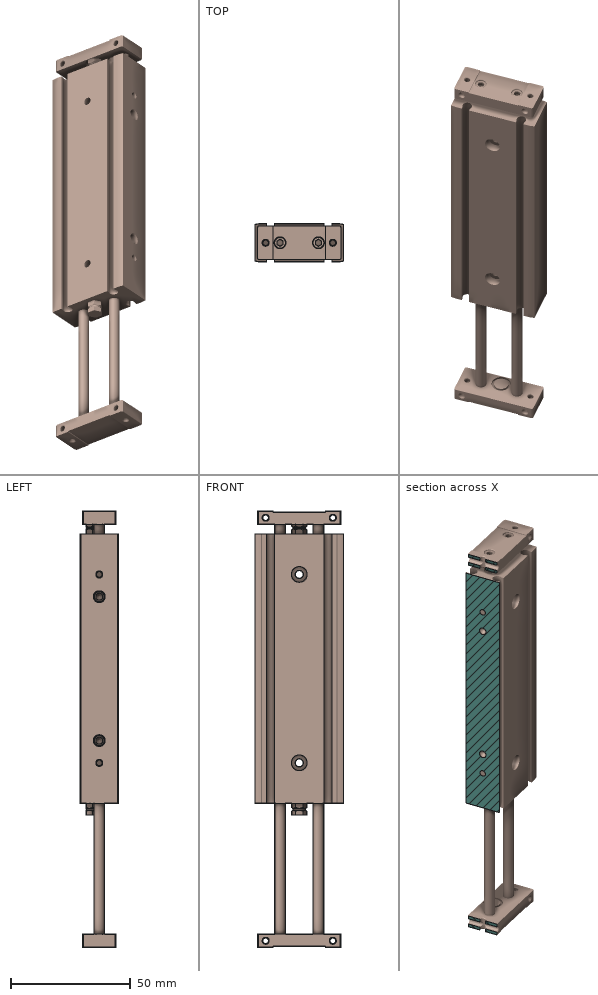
import cadquery as cq
import math

TOTAL_LENGTH = 182.6
PLATE_THICKNESS = 5.5
HOUSING_BOTTOM = 60.3
HOUSING_TOP = 173.1
HOUSING_LENGTH = HOUSING_TOP - HOUSING_BOTTOM
HOUSING_MIDDLE = (HOUSING_BOTTOM + HOUSING_TOP) / 2
UPPER_GAP = TOTAL_LENGTH - PLATE_THICKNESS - HOUSING_TOP

HOUSING_WIDTH = 37.0
HOUSING_DEPTH = 16.0
CROWN_WIDTH = 2.7
CROWN_DROP = 0.4
GROOVE_X = 12.0
GROOVE_OPENING = 3.3
GROOVE_DIAMETER = 4.0
GROOVE_CENTRE_DEPTH = 2.2
MOUNT_HOLE_OFFSET = 39.5
MOUNT_HOLE_DIAMETER = 3.3
COUNTERBORE_DIAMETER = 6.5
COUNTERBORE_DEPTH = 3.7
PORT_OFFSET = 30.1
PORT_MOUTH_DIAMETER = 5.0
PORT_DIAMETER = 4.2
PORT_DEPTH = 3.7
PASSAGE_DIAMETER = 3.0
PASSAGE_DEPTH = 1.5

SCREW_MOUTH_DIAMETER = 3.0
SCREW_HOLE_DIAMETER = 2.4
SIDE_SCREW_DEPTH = 4.4

PLATE_WIDTH = 35.0
PLATE_DEPTH = 14.0
PLATE_CHAMFER = 0.5
PLATE_SCREW_X = 14.0
RELIEF_WIDTH = 22.0
RELIEF_DEPTH = 0.4

ROD_X = 8.0
ROD_DIAMETER = 4.5
ROD_TOP_RECESS = 0.5
ROD_TOP = TOTAL_LENGTH - RELIEF_DEPTH - ROD_TOP_RECESS
ROD_HOLE_MOUTH_DIAMETER = 5.0
SOCKET_FLATS = 2.5
SOCKET_DEPTH = 1.8

STOP_Y = 2.7
HEX_FLATS = 5.5
HEX_CORNERS = HEX_FLATS / math.cos(math.pi / 6)
HEX_CHAMFER = 0.5
NUT_HEIGHT = 2.2
COLLAR_HEIGHT = 0.5
COLLAR_DIAMETER = 5.3
HEAD_HEIGHT = 2.2
STOP_LENGTH = NUT_HEIGHT + COLLAR_HEIGHT + HEAD_HEIGHT
SHANK_DIAMETER = 3.0
SHANK_LENGTH = 7.3
POCKET_DIAMETER = 8.0
POCKET_DEPTH = STOP_LENGTH - UPPER_GAP
BUMPER_DIAMETER = 6.0


def cylinder(diameter, length, start, direction):
    solid = cq.Solid.makeCylinder(diameter / 2, length, cq.Vector(*start), cq.Vector(*direction))
    return cq.Workplane(solid)


def cone(start_diameter, end_diameter, length, start, direction):
    radii = (start_diameter / 2, end_diameter / 2)
    return cq.Workplane(cq.Solid.makeCone(*radii, length, cq.Vector(*start), cq.Vector(*direction)))


def countersunk_hole(mouth_diameter, diameter, depth, start, direction):
    """Cutter for a hole whose mouth has a 45 degree countersink."""
    sink = (mouth_diameter - diameter) / 2
    hole = cylinder(diameter, depth, start, direction)
    return hole.union(cone(mouth_diameter, diameter, sink, start, direction))


def groove_cutter(side_x, side_y):
    """Keyhole-shaped sensor groove, open on the face at side_y."""
    centre_y = side_y * (HOUSING_DEPTH / 2 - GROOVE_CENTRE_DEPTH)
    base = cq.Workplane("XY", origin=(side_x * GROOVE_X, centre_y, HOUSING_BOTTOM))
    channel = base.circle(GROOVE_DIAMETER / 2).extrude(HOUSING_LENGTH)
    neck = base.center(0, side_y * GROOVE_CENTRE_DEPTH / 2).rect(GROOVE_OPENING, GROOVE_CENTRE_DEPTH)
    return channel.union(neck.extrude(HOUSING_LENGTH))


def housing_block():
    """Long block whose corners fall away along arcs tangent to the broad faces."""
    half_x = HOUSING_WIDTH / 2
    half_y = HOUSING_DEPTH / 2
    flat_x = half_x - CROWN_WIDTH
    edge_y = half_y - CROWN_DROP
    crown_radius = (CROWN_WIDTH**2 + CROWN_DROP**2) / (2 * CROWN_DROP)
    outline = (
        cq.Workplane("XY", origin=(0, 0, HOUSING_BOTTOM))
        .moveTo(-flat_x, half_y)
        .lineTo(flat_x, half_y)
        .radiusArc((half_x, edge_y), crown_radius)
        .lineTo(half_x, -edge_y)
        .radiusArc((flat_x, -half_y), crown_radius)
        .lineTo(-flat_x, -half_y)
        .radiusArc((-half_x, -edge_y), crown_radius)
        .lineTo(-half_x, edge_y)
        .radiusArc((-flat_x, half_y), crown_radius)
        .close()
    )
    return outline.extrude(HOUSING_LENGTH)


def port_cutter(z):
    """Air port in the side face: countersunk bore and a narrow passage with a conical end."""
    mouth_x = -HOUSING_WIDTH / 2
    bore = countersunk_hole(PORT_MOUTH_DIAMETER, PORT_DIAMETER, PORT_DEPTH, (mouth_x, 0, z), (1, 0, 0))
    passage_start = mouth_x + PORT_DEPTH
    passage = cylinder(PASSAGE_DIAMETER, PASSAGE_DEPTH, (passage_start, 0, z), (1, 0, 0))
    point_start = (passage_start + PASSAGE_DEPTH, 0, z)
    point = cone(PASSAGE_DIAMETER, 0, PASSAGE_DIAMETER / 2, point_start, (1, 0, 0))
    return bore.union(passage).union(point)


def mount_cutter(z):
    """Mounting hole through the housing, counterbored from the -Y face."""
    front = (0, -HOUSING_DEPTH / 2, z)
    hole = cylinder(MOUNT_HOLE_DIAMETER, HOUSING_DEPTH, front, (0, 1, 0))
    return hole.union(cylinder(COUNTERBORE_DIAMETER, COUNTERBORE_DEPTH, front, (0, 1, 0)))


def side_screw_cutter(z):
    """Blind screw hole in the -X side face."""
    start = (-HOUSING_WIDTH / 2, 0, z)
    return countersunk_hole(SCREW_MOUTH_DIAMETER, SCREW_HOLE_DIAMETER, SIDE_SCREW_DEPTH, start, (1, 0, 0))


def make_housing():
    body = housing_block()
    for side_x in (-1, 1):
        for side_y in (-1, 1):
            body = body.cut(groove_cutter(side_x, side_y))
        rod_start = (side_x * ROD_X, 0, HOUSING_BOTTOM)
        body = body.cut(cylinder(ROD_DIAMETER, HOUSING_LENGTH, rod_start, (0, 0, 1)))
    for end in (-1, 1):
        mount_z = HOUSING_MIDDLE + end * MOUNT_HOLE_OFFSET
        body = body.cut(mount_cutter(mount_z)).cut(side_screw_cutter(mount_z))
        body = body.cut(port_cutter(HOUSING_MIDDLE + end * PORT_OFFSET))
    for face_z, inward in ((HOUSING_BOTTOM, 1), (HOUSING_TOP, -1)):
        body = body.cut(cylinder(SHANK_DIAMETER, SHANK_LENGTH, (0, STOP_Y, face_z), (0, 0, inward)))
    return body


def cut_plate_screw_holes(plate, x):
    """Crossing through holes along Y and Z, countersunk at both ends."""
    sizes = (SCREW_MOUTH_DIAMETER, SCREW_HOLE_DIAMETER)
    middle_z = PLATE_THICKNESS / 2
    for inward in (-1, 1):
        y_start = (x, -inward * PLATE_DEPTH / 2, middle_z)
        plate = plate.cut(countersunk_hole(*sizes, PLATE_DEPTH / 2, y_start, (0, inward, 0)))
        z_start = (x, 0, middle_z - inward * PLATE_THICKNESS / 2)
        plate = plate.cut(countersunk_hole(*sizes, PLATE_THICKNESS / 2, z_start, (0, 0, inward)))
    return plate


def make_end_plate():
    """Lower end plate: outer face at Z = 0, stop pocket in the face towards the housing."""
    plate = (
        cq.Workplane("XY")
        .rect(PLATE_WIDTH, PLATE_DEPTH)
        .extrude(PLATE_THICKNESS)
        .edges("|Z")
        .chamfer(PLATE_CHAMFER)
    )
    relief = cq.Workplane("XY").rect(RELIEF_WIDTH, PLATE_DEPTH).extrude(RELIEF_DEPTH)
    pocket = cylinder(POCKET_DIAMETER, POCKET_DEPTH, (0, STOP_Y, PLATE_THICKNESS), (0, 0, -1))
    plate = plate.cut(relief).cut(pocket)
    for x in (-PLATE_SCREW_X, PLATE_SCREW_X):
        plate = cut_plate_screw_holes(plate, x)
    return plate


def make_upper_plate():
    """The same plate turned over, with holes that hold the rods."""
    plate = make_end_plate().mirror("XY").translate((0, 0, TOTAL_LENGTH))
    outer_z = TOTAL_LENGTH - RELIEF_DEPTH
    for x in (-ROD_X, ROD_X):
        start = (x, 0, outer_z)
        plate = plate.cut(
            countersunk_hole(ROD_HOLE_MOUTH_DIAMETER, ROD_DIAMETER, PLATE_THICKNESS, start, (0, 0, -1))
        )
    return plate


def make_rod(x):
    """Rod standing on the lower plate, with a hexagon socket in its upper end."""
    shaft = cylinder(ROD_DIAMETER, ROD_TOP - PLATE_THICKNESS, (x, 0, PLATE_THICKNESS), (0, 0, 1))
    socket = (
        cq.Workplane("XY", origin=(x, 0, ROD_TOP))
        .polygon(6, SOCKET_FLATS, circumscribed=True)
        .extrude(-SOCKET_DEPTH)
    )
    return shaft.cut(socket)


def chamfered_hexagon(height, z, chamfered_end):
    """Hexagon on the stop axis, corners along X, rounded off at one end."""
    prism = cq.Workplane("XY", origin=(0, STOP_Y, z)).polygon(6, HEX_CORNERS).extrude(height)
    envelope = cylinder(HEX_CORNERS, height, (0, STOP_Y, z), (0, 0, 1))
    return prism.intersect(envelope.faces(chamfered_end).chamfer(HEX_CHAMFER))


def make_stop_bolt():
    """Upper stop bolt with its lock nut; the nut sits on the housing at Z = 0."""
    shank = cylinder(SHANK_DIAMETER, SHANK_LENGTH, (0, STOP_Y, 0), (0, 0, -1))
    nut = chamfered_hexagon(NUT_HEIGHT, 0, ">Z")
    collar = cylinder(COLLAR_DIAMETER, COLLAR_HEIGHT, (0, STOP_Y, NUT_HEIGHT), (0, 0, 1))
    head = chamfered_hexagon(HEAD_HEIGHT, NUT_HEIGHT + COLLAR_HEIGHT, "<Z")
    return shank.union(nut).union(collar).union(head)


housing = make_housing()
lower_plate = make_end_plate()
upper_plate = make_upper_plate()
rods = [make_rod(x) for x in (-ROD_X, ROD_X)]
upper_stop = make_stop_bolt().translate((0, 0, HOUSING_TOP))
lower_stop = make_stop_bolt().mirror("XY").translate((0, 0, HOUSING_BOTTOM))
bumper = cylinder(BUMPER_DIAMETER, POCKET_DEPTH, (0, STOP_Y, PLATE_THICKNESS), (0, 0, -1))

bodies = [housing, lower_plate, upper_plate, *rods, upper_stop, lower_stop, bumper]
result = cq.Compound.makeCompound([body.val() for body in bodies])